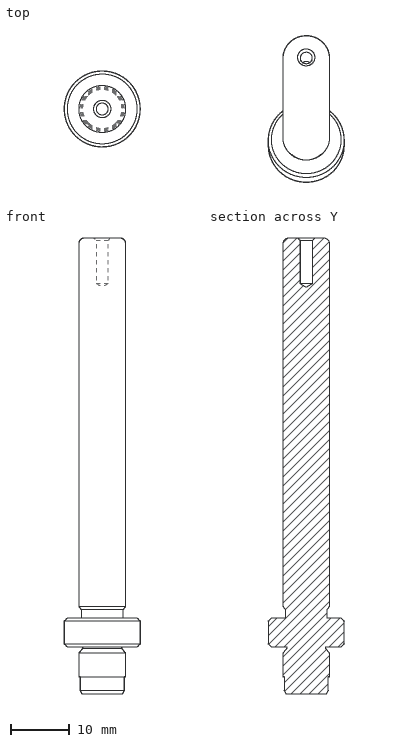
import cadquery as cq
import math

length = 78.0

shaft_diameter = 8.0
shaft_radius = shaft_diameter / 2
shaft_start = 15.0
tip_round = 1.0

upper_neck_radius = 3.6
upper_relief_depth = 0.55

collar_diameter = 13.0
collar_radius = collar_diameter / 2
collar_bottom = 8.0
collar_top = 13.0
collar_chamfer = 0.55

lower_neck_radius = 3.35
lower_relief_start = 7.0
lower_relief_depth = 0.8

spigot_radius = shaft_radius
pilot_diameter = 7.6
pilot_radius = pilot_diameter / 2
pilot_length = 3.0
pilot_chamfer_width = 0.3
pilot_chamfer_height = 0.6

hole_radius = 1.0
hole_mouth_radius = 1.5
hole_depth = 7.8
drill_point_angle = 118.0


def make_body():
    """Revolve the stepped half-profile about Z."""
    arc_offset = tip_round * math.sqrt(0.5)
    arc_centre_r = shaft_radius - tip_round
    arc_centre_z = length - tip_round
    return (
        cq.Workplane("XZ")
        .moveTo(0, 0)
        .lineTo(pilot_radius - pilot_chamfer_width, 0)
        .lineTo(pilot_radius, pilot_chamfer_height)
        .lineTo(pilot_radius, pilot_length)
        .lineTo(spigot_radius, pilot_length)
        .lineTo(spigot_radius, lower_relief_start)
        .lineTo(lower_neck_radius, lower_relief_start + lower_relief_depth)
        .lineTo(lower_neck_radius, collar_bottom)
        .lineTo(collar_radius - collar_chamfer, collar_bottom)
        .lineTo(collar_radius, collar_bottom + collar_chamfer)
        .lineTo(collar_radius, collar_top - collar_chamfer)
        .lineTo(collar_radius - collar_chamfer, collar_top)
        .lineTo(upper_neck_radius, collar_top)
        .lineTo(upper_neck_radius, shaft_start - upper_relief_depth)
        .lineTo(shaft_radius, shaft_start)
        .lineTo(shaft_radius, arc_centre_z)
        .threePointArc(
            (arc_centre_r + arc_offset, arc_centre_z + arc_offset),
            (arc_centre_r, length),
        )
        .lineTo(0, length)
        .close()
        .revolve(360, (0, 0, 0), (0, 1, 0))
    )


def make_centre_hole():
    """Blind drilled hole with a 45 degree countersunk mouth and a conical end."""
    countersink_depth = hole_mouth_radius - hole_radius
    point_height = hole_radius / math.tan(math.radians(drill_point_angle / 2))
    hole_floor = length - hole_depth
    return (
        cq.Workplane("XZ")
        .moveTo(0, length)
        .lineTo(hole_mouth_radius, length)
        .lineTo(hole_radius, length - countersink_depth)
        .lineTo(hole_radius, hole_floor)
        .lineTo(0, hole_floor - point_height)
        .close()
        .revolve(360, (0, 0, 0), (0, 1, 0))
    )


result = make_body().cut(make_centre_hole())